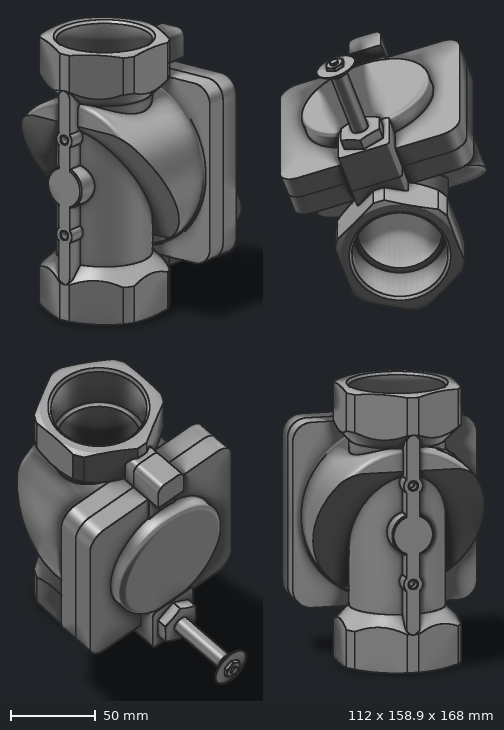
import cadquery as cq
import math


half_length = 84.0
pipe_radius = 57.0 / 2
bore_diameter = 50.0
thread_diameter = 56.6
thread_depth = 29.9
thread_lead_in = 1.7
hex_flats = 69.9
hex_corner_radius = 38.5
hex_end_chamfer = 1.0
neck_top = 50.0

flange_width = 112.0
flange_corner = 11.5
flange_front = 29.4
joint_y = 42.0
flange_back = 54.8

chamber_radius = 51.4
chamber_front = -30.9
chamber_rounding = 5.0
chamber_root = 1.7
slope_top = 37.0
slope_angle = 36.0

rib_front = -38.6
rib_half_length = 60.3
rib_width = 8.0
boss_radius = 25.4 / 2
boss_chamfer = 0.8
screw_boss_radius = 5.7
screw_heights = (-29.7, 29.7)
screw_diameter = 5.0
screw_depth = 6.7
screw_countersink = 0.5

upper_lug_width = 20.2
upper_lug_top = 74.0
upper_lug_corner = 5.0
upper_lug_back = 63.8
lower_lug_width = 32.0
lower_lug_top = -36.0
lower_lug_bottom = -67.9
lower_lug_top_corner = 2.9
lower_lug_bottom_corner = 2.2
lower_lug_back = 65.5

dome_radius = 39.8
dome_back = 65.0
dome_rounding = 3.2
pad_height = 1.0

stem_z = -51.9
nut_flats = 24.0
nut_end = 72.4
nut_chamfer = 0.5
tube_diameter = 10.0
tube_end = 111.4
neck_diameter = 9.0
disc_diameter = 24.0
disc_start = 116.3
disc_thickness = 0.5
tip_nut_flats = 10.0
tip_nut_end = 119.0
tip_nut_chamfer = 0.5
tip_diameter = 4.9
tip_end = 120.3


def facing_y(y, z=0.0):
    """Sketch plane at the given Y: local x is X, local y is Z, and the normal is -Y."""
    return cq.Workplane("XZ", origin=(0, y, z))


def disc_along_y(diameter, start, end, z=0.0):
    return facing_y(end, z).circle(diameter / 2).extrude(end - start)


def hexagon_points(flats):
    """Corners of a hexagon with two flats facing +X and -X."""
    corner = flats / math.sqrt(3)
    angles = [math.radians(90 + 60 * i) for i in range(6)]
    return [(corner * math.cos(a), corner * math.sin(a)) for a in angles]


def hexagon_along_y(flats, start, end, chamfer, z):
    """Hexagonal nut turned down to a circle as wide as its flats at the +Y end."""
    nut = facing_y(end, z).polyline(hexagon_points(flats)).close().extrude(end - start)
    corner_radius = flats / math.sqrt(3)
    blank = (
        cq.Workplane("XY", origin=(0, 0, z))
        .polyline([
            (0, start),
            (corner_radius, start),
            (corner_radius, end - chamfer),
            (flats / 2, end),
            (0, end),
        ])
        .close()
        .revolve(360, (0, 0), (0, 1))
    )
    return nut.intersect(blank)


def flange(start, end):
    plate = facing_y(end).rect(flange_width, flange_width).extrude(end - start)
    return plate.edges("|Y").fillet(flange_corner)


def lug(width, bottom, top, start, end):
    return facing_y(end, (bottom + top) / 2).rect(width, top - bottom).extrude(end - start)


def upper_lug(start, end):
    block = lug(upper_lug_width, flange_width / 2, upper_lug_top, start, end)
    return block.faces(">Z").edges("|Y").fillet(upper_lug_corner)


def lower_lug(start, end):
    block = lug(lower_lug_width, lower_lug_bottom, lower_lug_top, start, end)
    block = block.faces(">Z").edges("|Y").fillet(lower_lug_top_corner)
    return block.faces("<Z").edges("|Y").fillet(lower_lug_bottom_corner)


def pipe_half():
    """Upper half of the pipe: a turned blank cut to a hexagon at its end."""
    hex_start = neck_top + hex_corner_radius - pipe_radius
    blank = (
        cq.Workplane("XZ")
        .polyline([
            (0, 0),
            (pipe_radius, 0),
            (pipe_radius, neck_top),
            (hex_corner_radius, hex_start),
            (hex_corner_radius, half_length - hex_end_chamfer),
            (hex_flats / 2, half_length),
            (0, half_length),
        ])
        .close()
        .revolve(360, (0, 0), (0, 1))
    )
    hexagon = cq.Workplane("XY").polyline(hexagon_points(hex_flats)).close().extrude(half_length)
    return blank.intersect(hexagon)


def thread_bore():
    """Material removed from the upper pipe end: threaded bore with a 45 degree lead-in."""
    radius = thread_diameter / 2
    return (
        cq.Workplane("XZ")
        .polyline([
            (0, half_length - thread_depth),
            (radius, half_length - thread_depth),
            (radius, half_length - thread_lead_in),
            (radius + thread_lead_in, half_length),
            (0, half_length),
        ])
        .close()
        .revolve(360, (0, 0), (0, 1))
    )


def chamber():
    """Round chamber, flared into the flange and cut away by a slope below the pipe's upper end."""
    root_start = flange_front - chamber_root
    body = (
        cq.Workplane("XY")
        .moveTo(0, flange_front)
        .lineTo(chamber_radius + chamber_root, flange_front)
        .radiusArc((chamber_radius, root_start), -chamber_root)
        .lineTo(chamber_radius, chamber_front + chamber_rounding)
        .radiusArc((chamber_radius - chamber_rounding, chamber_front), chamber_rounding)
        .lineTo(0, chamber_front)
        .close()
        .revolve(360, (0, 0), (0, 1))
    )
    slope_bottom = slope_top - (root_start - chamber_front) / math.tan(math.radians(slope_angle))
    wedge = (
        cq.Workplane("YZ")
        .polyline([
            (chamber_front, slope_top),
            (root_start, slope_bottom),
            (root_start, -chamber_radius),
            (chamber_front, -chamber_radius),
        ])
        .close()
        .extrude(chamber_radius, both=True)
    )
    return body.cut(wedge)


def mounting_rib():
    """Rib with rounded ends, a central boss and two screw bosses."""
    rib = facing_y(rib_front).slot2D(2 * rib_half_length, rib_width, 90).extrude(rib_front)
    boss = disc_along_y(2 * boss_radius, rib_front, 0).faces("<Y").chamfer(boss_chamfer)
    rib = rib.union(boss)
    for z in screw_heights:
        rib = rib.union(disc_along_y(2 * screw_boss_radius, rib_front, 0, z))
    return rib


def screw_hole(z):
    """Blind hole with a countersunk mouth and a conical bottom."""
    radius = screw_diameter / 2
    return (
        cq.Workplane("XY", origin=(0, rib_front, z))
        .polyline([
            (0, 0),
            (radius + screw_countersink, 0),
            (radius, screw_countersink),
            (radius, screw_depth),
            (0, screw_depth + radius),
        ])
        .close()
        .revolve(360, (0, 0), (0, 1))
    )


def make_housing():
    half = pipe_half()
    housing = half.union(half.mirror("XY"))
    housing = housing.union(chamber()).union(flange(flange_front, joint_y))
    housing = housing.union(mounting_rib())
    housing = housing.union(upper_lug(flange_front, joint_y))
    housing = housing.union(lower_lug(flange_front, joint_y))
    bore = cq.Workplane("XY").circle(bore_diameter / 2).extrude(half_length, both=True)
    housing = housing.cut(bore).cut(thread_bore()).cut(thread_bore().mirror("XY"))
    for z in screw_heights:
        housing = housing.cut(screw_hole(z))
    return housing


def pilot_stem():
    """Nut, tube, neck, retaining disc and end nut stacked along Y."""
    disc_end = disc_start + disc_thickness
    stem = hexagon_along_y(nut_flats, lower_lug_back, nut_end, nut_chamfer, stem_z)
    stem = stem.union(disc_along_y(tube_diameter, nut_end, tube_end, stem_z))
    stem = stem.union(disc_along_y(neck_diameter, tube_end, disc_start, stem_z))
    stem = stem.union(disc_along_y(disc_diameter, disc_start, disc_end, stem_z))
    stem = stem.union(hexagon_along_y(tip_nut_flats, disc_end, tip_nut_end, tip_nut_chamfer, stem_z))
    return stem.union(disc_along_y(tip_diameter, tip_nut_end, tip_end, stem_z))


def make_bonnet():
    dome = disc_along_y(2 * dome_radius, flange_back, dome_back).faces(">Y").edges().fillet(dome_rounding)
    pad = lug(upper_lug_width, 0, flange_width / 2, flange_back, flange_back + pad_height)
    bonnet = flange(joint_y, flange_back).union(dome).union(pad)
    bonnet = bonnet.union(upper_lug(joint_y, upper_lug_back))
    bonnet = bonnet.union(lower_lug(joint_y, lower_lug_back))
    return bonnet.union(pilot_stem())


housing = make_housing()
bonnet = make_bonnet()
result = cq.Compound.makeCompound([housing.val(), bonnet.val()])